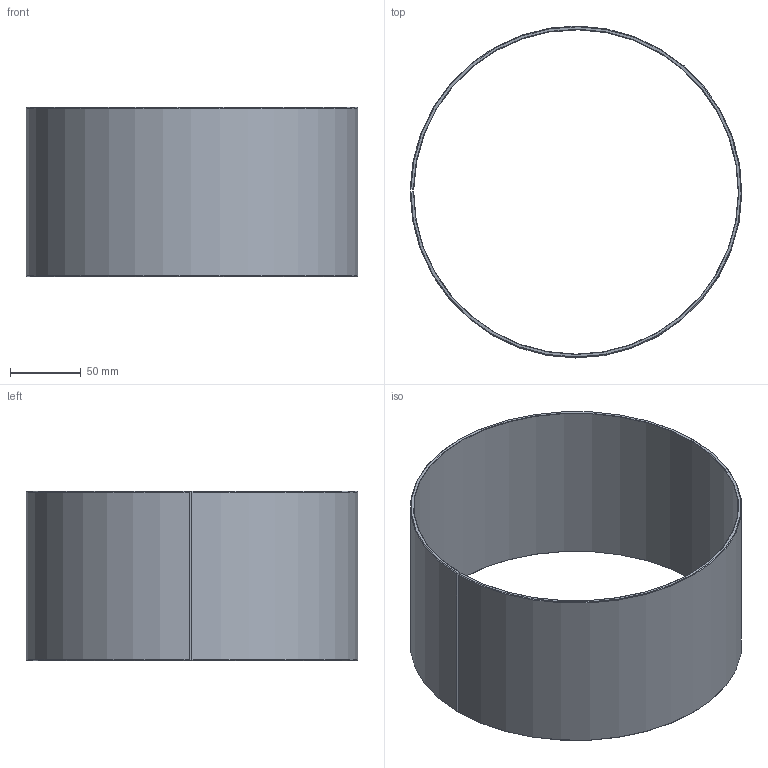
import cadquery as cq

outer_diameter = 235.0
wall_thickness = 2.5
height = 120.0
outer_chamfer = 0.5
inner_chamfer = 0.2
gap_angle = 1.0

outer_radius = outer_diameter / 2
inner_radius = outer_radius - wall_thickness
half_height = height / 2


def make_wall_profile():
    """Wall section on the -X side: a thin upright strip with its four corners chamfered."""
    rim_outer_radius = outer_radius - outer_chamfer
    rim_inner_radius = inner_radius + inner_chamfer
    outer_face_top = half_height - outer_chamfer
    inner_face_top = half_height - inner_chamfer
    return (
        cq.Workplane("XZ")
        .moveTo(-inner_radius, -inner_face_top)
        .lineTo(-rim_inner_radius, -half_height)
        .lineTo(-rim_outer_radius, -half_height)
        .lineTo(-outer_radius, -outer_face_top)
        .lineTo(-outer_radius, outer_face_top)
        .lineTo(-rim_outer_radius, half_height)
        .lineTo(-rim_inner_radius, half_height)
        .lineTo(-inner_radius, inner_face_top)
        .close()
    )


def make_split_sleeve():
    """Wall swept about Z from -X through -Y, leaving a narrow full-height gap just on the +Y side of -X."""
    return make_wall_profile().revolve(360 - gap_angle, (0, 0), (0, 1))


result = make_split_sleeve()